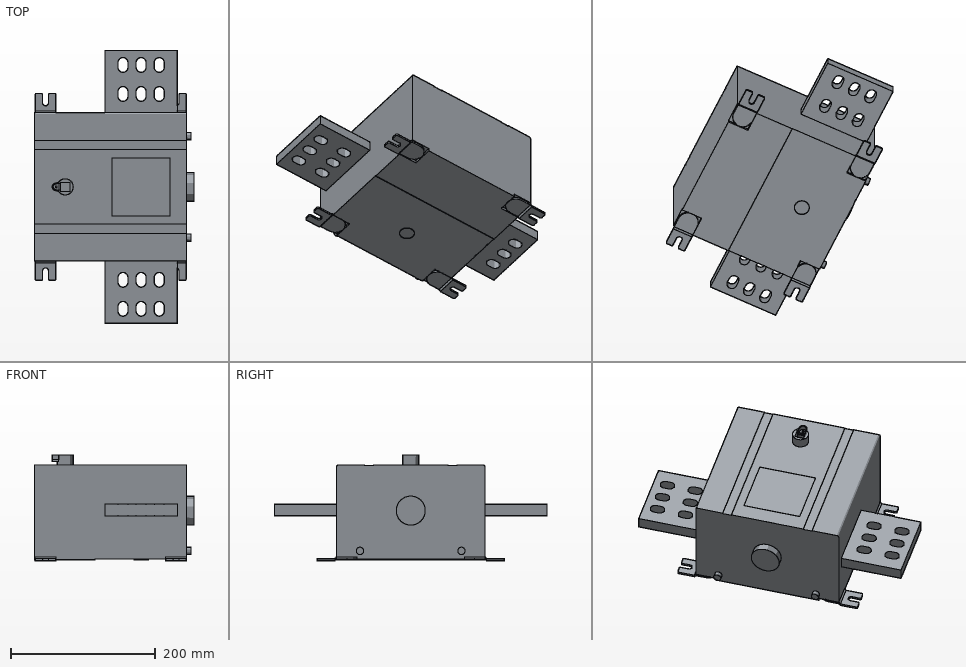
import cadquery as cq

body_length = 210.0
body_width = 205.0
body_top = 132.3
body_bottom = 2.1
body_edge_radius = 2.8

base_pad_length = 84.0
base_pad_height = 0.9
base_disc_x = 147.5
base_disc_diameter = 20.5

groove_width = 12.5
groove_offset = 57.8
groove_depth = 0.8

label_size = 80.0
label_x = 147.2
label_depth = 0.3

bar_width = 100.0
bar_thickness = 16.0
bar_x = 147.3
bar_z = 70.0
bar_tip_y = 376.4 / 2
slot_width = 13.5
slot_length = 20.0
slot_columns = 3
slot_column_pitch = 25.0
slot_rows = 2
slot_row_pitch = 40.0
slot_end_margin = 20.0

foot_width = 28.5
foot_thickness = 3.0
foot_crank = 2.5
foot_crank_start = body_width / 2
foot_crank_run = 2.3
foot_tip_y = 129.0
foot_inner_y = 74.0
foot_corner_radius = 1.8
foot_slot_width = 8.0
foot_slot_depth = 17.0
foot_side_inset = 0.4
foot_left_inset = 1.2
foot_xs = (
    foot_left_inset + foot_width / 2,
    body_length - foot_side_inset - foot_width / 2,
)

side_disc_diameter = 40.0
side_disc_height = 10.5
side_disc_z = 69.2
button_diameter = 10.2
button_height = 6.4
button_y = 70.0
button_z = 13.6

socket_x = 42.6
socket_diameter = 22.2
socket_top = 145.9
socket_square = 12.6

pointer_tip_x = 24.6
pointer_height = 9.0
pointer_nose_x = 29.5
pointer_nose_width = 10.4
pointer_root_x = 34.0
pointer_root_width = 13.0
pointer_wall = 1.4
pointer_pocket_depth = 5.9
pointer_neck_width = 9.0
pointer_neck_depth = 8.0
pointer_hole_x = 30.2
pointer_hole_diameter = 2.6


def box(x_min, x_max, y_min, y_max, z_min, z_max):
    """Axis-aligned block between two corners."""
    size = (x_max - x_min, y_max - y_min, z_max - z_min)
    return cq.Workplane("XY").box(*size, centered=False).translate((x_min, y_min, z_min))


def make_body():
    half_width = body_width / 2
    body = box(0, body_length, -half_width, half_width, body_bottom, body_top)
    body = body.edges("|X and >Z").fillet(body_edge_radius)
    for side in (-1, 1):
        groove_y = side * groove_offset
        body = body.cut(
            box(
                0,
                body_length,
                groove_y - groove_width / 2,
                groove_y + groove_width / 2,
                body_top - groove_depth,
                body_top,
            )
        )
    label = cq.Workplane("XY", origin=(label_x, 0, body_top)).rect(label_size, label_size)
    return body.cut(label.extrude(-label_depth))


def make_base_pads():
    pad_bottom = body_bottom - base_pad_height
    pad = box(0, base_pad_length, -body_width / 2, body_width / 2, pad_bottom, body_bottom)
    disc = cq.Workplane("XY", origin=(base_disc_x, 0, pad_bottom)).circle(base_disc_diameter / 2)
    return pad.union(disc.extrude(base_pad_height))


def make_foot_recess(foot_x, side):
    """Open-sided corner recess above a foot, running out to the nearest X face."""
    x_min = foot_x - foot_width / 2
    x_max = foot_x + foot_width / 2
    if foot_x < body_length / 2:
        x_min = 0
    else:
        x_max = body_length
    y_min, y_max = sorted((side * foot_inner_y, side * body_width / 2))
    return box(x_min, x_max, y_min, y_max, 0, foot_crank + foot_thickness)


def make_foot(foot_x, side):
    """Foot pointing towards +Y, mirrored for the -Y side."""
    crank_end = foot_crank_start + foot_crank_run
    profile = [
        (foot_inner_y, foot_crank),
        (foot_crank_start, foot_crank),
        (crank_end, 0),
        (foot_tip_y, 0),
        (foot_tip_y, foot_thickness),
        (crank_end, foot_thickness),
        (foot_crank_start, foot_crank + foot_thickness),
        (foot_inner_y, foot_crank + foot_thickness),
    ]
    plate = cq.Workplane("YZ").polyline(profile).close().extrude(foot_width / 2, both=True)

    radius = foot_width / 2
    slot_end_y = foot_tip_y - foot_slot_depth + foot_slot_width / 2
    plan_height = foot_crank + foot_thickness
    plan = (
        cq.Workplane("XY")
        .moveTo(-radius, foot_tip_y)
        .lineTo(-radius, foot_inner_y + radius)
        .threePointArc((0, foot_inner_y), (radius, foot_inner_y + radius))
        .lineTo(radius, foot_tip_y)
        .lineTo(foot_slot_width / 2, foot_tip_y)
        .lineTo(foot_slot_width / 2, slot_end_y)
        .threePointArc((0, foot_tip_y - foot_slot_depth), (-foot_slot_width / 2, slot_end_y))
        .lineTo(-foot_slot_width / 2, foot_tip_y)
        .close()
        .extrude(plan_height)
        .edges("|Z and >Y")
        .fillet(foot_corner_radius)
    )
    foot = plate.intersect(plan)
    if side < 0:
        foot = foot.mirror("XZ")
    return foot.translate((foot_x, 0, 0))


def make_bar(side):
    """Connection bar with its grid of slots, rooted on the enclosure wall."""
    y_min, y_max = sorted((side * body_width / 2, side * bar_tip_y))
    bar = box(
        bar_x - bar_width / 2,
        bar_x + bar_width / 2,
        y_min,
        y_max,
        bar_z - bar_thickness / 2,
        bar_z + bar_thickness / 2,
    )
    outer_row_y = bar_tip_y - slot_end_margin
    rows_centre_y = side * (outer_row_y - (slot_rows - 1) * slot_row_pitch / 2)
    slots = (
        cq.Workplane("XY", origin=(bar_x, rows_centre_y, bar_z))
        .rarray(slot_column_pitch, slot_row_pitch, slot_columns, slot_rows)
        .slot2D(slot_length, slot_width, 90)
        .extrude(bar_thickness, both=True)
    )
    return bar.cut(slots)


def make_side_disc(y, z, diameter, height):
    """Cylinder standing out of the +X face."""
    return cq.Workplane("YZ", origin=(body_length, y, z)).circle(diameter / 2).extrude(height)


def pointer_outline(inset, root_x):
    """Plan of the pointer, shrunk by an inset: a rounded nose widening to its root."""
    nose_half = pointer_nose_width / 2 - inset
    root_half = pointer_root_width / 2 - inset
    return (
        cq.Workplane("XY", origin=(0, 0, socket_top))
        .moveTo(root_x, -root_half)
        .lineTo(pointer_nose_x, -nose_half)
        .threePointArc((pointer_tip_x + inset, 0), (pointer_nose_x, nose_half))
        .lineTo(root_x, root_half)
        .close()
    )


def make_socket():
    socket_height = socket_top - body_top
    socket = cq.Workplane("XY", origin=(socket_x, 0, body_top)).circle(socket_diameter / 2)
    socket = socket.extrude(socket_height)
    socket = socket.union(pointer_outline(0, pointer_root_x).extrude(-pointer_height))

    square = cq.Workplane("XY", origin=(socket_x, 0, body_top)).rect(socket_square, socket_square)
    neck = box(
        pointer_root_x,
        socket_x,
        -pointer_neck_width / 2,
        pointer_neck_width / 2,
        socket_top - pointer_neck_depth,
        socket_top,
    )
    pocket = pointer_outline(pointer_wall, pointer_root_x)
    hole = cq.Workplane("XY", origin=(pointer_hole_x, 0, socket_top)).circle(pointer_hole_diameter / 2)
    socket = socket.cut(square.extrude(socket_height))
    socket = socket.cut(neck)
    socket = socket.cut(pocket.extrude(-pointer_pocket_depth))
    return socket.cut(hole.extrude(-pointer_height))


part = make_body().union(make_base_pads())
for foot_x in foot_xs:
    for side in (-1, 1):
        part = part.cut(make_foot_recess(foot_x, side))
        part = part.union(make_foot(foot_x, side))

for side in (-1, 1):
    part = part.union(make_bar(side))
    part = part.union(make_side_disc(side * button_y, button_z, button_diameter, button_height))

part = part.union(make_side_disc(0, side_disc_z, side_disc_diameter, side_disc_height))
result = part.union(make_socket())